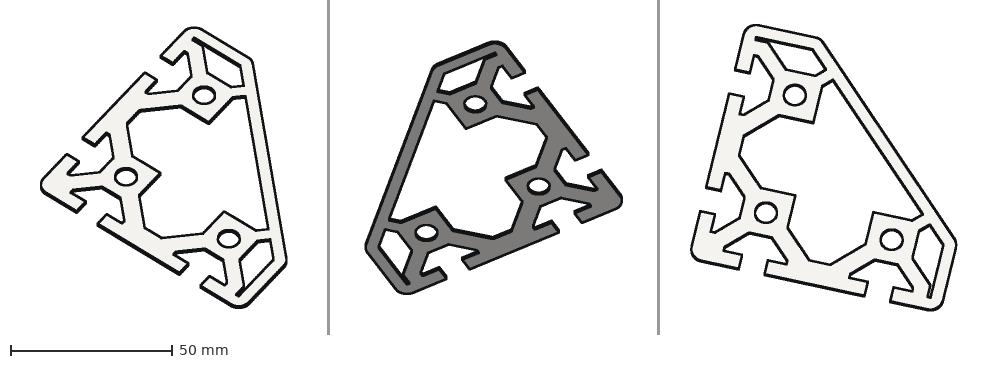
import cadquery as cq
import math

side = 80.0
thickness = 1.0
corner_radius = 4.0
wall = 4.0
rib = 4.0
slope_leg = 56.4

core_near = 20.0
core_far = side - core_near
core_half = 7.6
bore_diameter = 6.8

mouth_width = 8.2
lip_thickness = 4.7
slot_half_width = 10.0
slot_depth = core_near - core_half
slot_floor_half = 3.6

cavity_floor = 7.6
cavity_floor_half = 3.3

pocket_rib_gap = 7.1
pocket_tip_x = 75.0

slope_outer = 2 * side - slope_leg
slope_inner = slope_outer - wall * math.sqrt(2)
rib_offset = rib / math.sqrt(2)
rib_center = core_far - core_near
core_inner = core_near + core_half
core_right = core_far + core_half


def plate(points):
    return cq.Workplane("XY").polyline(points).close().extrude(thickness)


def swap_axes(points):
    """Reflect points across the diagonal symmetry line x = y."""
    return [(y, x) for x, y in points]


def crossing(total, difference):
    """Point where x + y = total meets x - y = difference."""
    return ((total + difference) / 2, (total - difference) / 2)


def make_blank():
    outline = [(0, 0), (side, 0), (side, slope_outer - side), (slope_outer - side, side), (0, side)]
    return plate(outline).edges("|Z").fillet(corner_radius)


def slot_points(center):
    """T-slot opening on the bottom side, with 45-degree flanks."""
    flank_start = slot_depth - (slot_half_width - slot_floor_half)
    right_half = [
        (mouth_width / 2, 0),
        (mouth_width / 2, lip_thickness),
        (slot_half_width, lip_thickness),
        (slot_half_width, flank_start),
        (slot_floor_half, slot_depth),
    ]
    left_half = [(-x, y) for x, y in reversed(right_half)]
    return [(center + x, y) for x, y in right_half + left_half]


def cavity_points():
    """Central cavity around the cores, symmetric about x = y."""
    middle = side / 2
    flank_top = cavity_floor + middle - cavity_floor_half - core_inner
    rib_edge = rib_center - rib_offset
    lower_half = [
        (core_inner, core_inner),
        (core_inner, flank_top),
        (middle - cavity_floor_half, cavity_floor),
        (middle + cavity_floor_half, cavity_floor),
        (side - core_inner, flank_top),
        (side - core_inner, core_inner),
        (core_inner + rib_edge, core_inner),
        crossing(slope_inner, rib_edge),
    ]
    return lower_half + swap_axes(reversed(lower_half[1:]))


def pocket_points():
    """Closed pocket between the right core and the right wall."""
    right = side - wall
    rib_edge = rib_center + rib_offset
    flank_sum = core_far + slot_floor_half + slot_depth + pocket_rib_gap
    return [
        (right, wall),
        (right, slope_inner - right),
        crossing(slope_inner, rib_edge),
        (core_right, core_right - rib_edge),
        (core_right, flank_sum - core_right),
        (pocket_tip_x, flank_sum - pocket_tip_x),
        (pocket_tip_x, wall),
    ]


def make_bores():
    centers = [(core_near, core_near), (core_far, core_near), (core_near, core_far)]
    return cq.Workplane("XY").pushPoints(centers).circle(bore_diameter / 2).extrude(thickness)


result = make_blank().cut(plate(cavity_points())).cut(make_bores())
for opening in (slot_points(core_near), slot_points(core_far), pocket_points()):
    result = result.cut(plate(opening)).cut(plate(swap_axes(opening)))